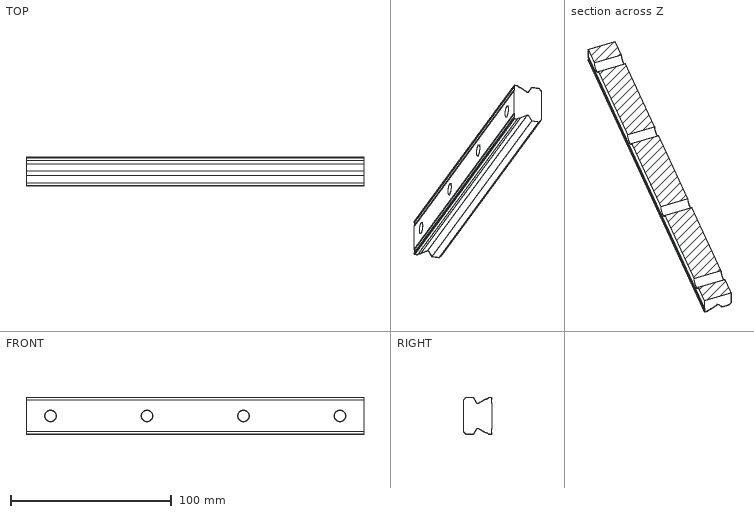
import cadquery as cq
import math

length = 210.0
height = 18.0
width = 23.0
half_height = height / 2
half_width = width / 2

hole_diameter = 7.0
hole_count = 4
hole_pitch = 60.0

base_chamfer = 1.7

lower_flank_angle = math.radians(60)
upper_flank_angle = math.radians(30)
root_radius = 1.15
root_y = 0.18
root_half_width = 7.8
seat_bottom_y = 4.7
seat_top_y = 6.75

head_chamfer = 0.5
relief_depth = 0.4
relief_inner = 8.0
relief_outer = 10.5


def rail_upper_half():
    """One half of the rail (z >= 0), extruded along X from its Y-Z outline."""
    flank_start_y = root_y - root_radius * math.sin(lower_flank_angle)
    flank_start_z = root_half_width + root_radius * (1 - math.cos(lower_flank_angle))
    base_land_top = flank_start_y - (half_width - flank_start_z) / math.tan(lower_flank_angle)
    seat_bottom_z = root_half_width + (seat_bottom_y - root_y) * math.tan(upper_flank_angle)
    seat_depth = half_width - seat_bottom_z
    seat_radius = ((seat_top_y - seat_bottom_y) ** 2 + seat_depth ** 2) / (2 * seat_depth)
    return (
        cq.Workplane("YZ", origin=(-length / 2, 0, 0))
        .moveTo(-half_height, 0)
        .lineTo(-half_height, half_width - base_chamfer)
        .lineTo(-half_height + base_chamfer, half_width)
        .lineTo(base_land_top, half_width)
        .lineTo(flank_start_y, flank_start_z)
        .radiusArc((root_y, root_half_width), -root_radius)
        .lineTo(seat_bottom_y, seat_bottom_z)
        .radiusArc((seat_top_y, half_width), -seat_radius)
        .lineTo(half_height - head_chamfer, half_width)
        .lineTo(half_height, half_width - head_chamfer)
        .lineTo(half_height, relief_outer)
        .lineTo(half_height - relief_depth, relief_outer)
        .lineTo(half_height - relief_depth, relief_inner)
        .lineTo(half_height, relief_inner)
        .lineTo(half_height, 0)
        .close()
        .extrude(length)
    )


def mounting_holes():
    """Cylinders of the hole row, running through the rail along Y."""
    return (
        cq.Workplane("XZ", origin=(0, half_height, 0))
        .rarray(hole_pitch, hole_pitch, hole_count, 1)
        .circle(hole_diameter / 2)
        .extrude(height)
    )


upper_half = rail_upper_half()
rail = upper_half.union(upper_half.mirror("XY")).clean()
result = rail.cut(mounting_holes())